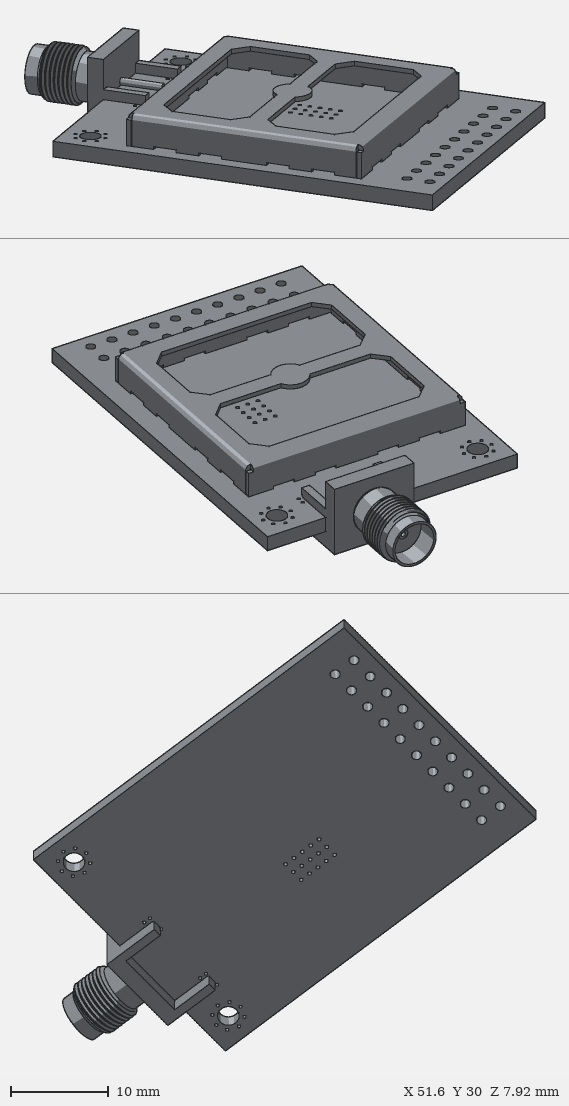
import cadquery as cq
import math

OVERALL_LENGTH = 51.6

BOARD_LENGTH = 42.0
BOARD_WIDTH = 30.0
BOARD_THICKNESS = 1.7
BOARD_LEFT = -BOARD_LENGTH / 2
BOARD_RIGHT = BOARD_LENGTH / 2

MOUNT_HOLE_DIAMETER = 2.2
MOUNT_HOLE_INSET = 2.95
MOUNT_VIA_COUNT = 8
MOUNT_VIA_RADIUS = 1.65
PAD_VIA_DIAMETER = 0.33

HEADER_HOLE_DIAMETER = 1.02
HEADER_PITCH = 2.54
HEADER_COLUMNS = 2
HEADER_ROWS = 10
HEADER_EDGE_INSET = 1.75

THERMAL_VIA_DIAMETER = 0.38
THERMAL_VIA_COLUMNS = 5
THERMAL_VIA_ROWS = 3
THERMAL_VIA_PITCH_X = 1.13
THERMAL_VIA_PITCH_Y = 1.22
THERMAL_VIA_X = BOARD_LEFT + 21.4
THERMAL_VIA_Y = 3.5

SHIELD_SIZE = 26.0
SHIELD_HEIGHT = 3.45
SHIELD_SHEET = 0.5
SHIELD_INNER_BEND = 0.1
SHIELD_OUTER_BEND = SHIELD_SHEET + SHIELD_INNER_BEND
SHIELD_X = BOARD_LEFT + 7.45 + SHIELD_SIZE / 2
SHIELD_Y = -0.33

WINDOW_SPAN = 21.0
WINDOW_CHAMFER = 1.5
BRIDGE_WIDTH = 2.0
PICKUP_DISC_DIAMETER = 4.0

NOTCH_WIDTH = 2.5
NOTCH_HEIGHT = 0.3
NOTCH_CENTRES = (-8.75, -3.75, 3.75, 8.75)

CONNECTOR_LEFT = BOARD_RIGHT - OVERALL_LENGTH
CONNECTOR_Y = 3.27
FLANGE_THICKNESS = 1.75
FLANGE_WIDTH = 9.53
FLANGE_HEIGHT = 7.92
FLANGE_LEFT = BOARD_LEFT - FLANGE_THICKNESS

SIGNAL_PIN_DIAMETER = 0.8
AXIS_Z = SIGNAL_PIN_DIAMETER / 2
FLANGE_BOTTOM = AXIS_Z - FLANGE_HEIGHT / 2

LEG_LENGTH = 4.65
LEG_WIDTH = 0.95
UPPER_LEG_HEIGHT = 1.08
LEG_TIP_CHAMFER = 0.25
LEG_Y_OFFSET = (FLANGE_WIDTH - LEG_WIDTH) / 2

LEG_VIA_Y_OFFSET = 0.86
LEG_VIA_CENTRE_Y_OFFSET = 4.36
LEG_VIA_X = (BOARD_LEFT + 3.7, BOARD_LEFT + 4.48)

BARREL_DIAMETER = 5.2
NECK_DIAMETER = 5.0
NECK_LENGTH = 0.15
BORE_DIAMETER = 4.65
BORE_DEPTH = 2.5
CONTACT_DIAMETER = 1.1
CONTACT_STICKOUT = 0.3
SOCKET_DIAMETER = 0.5
SOCKET_DEPTH = 1.5

THREAD_DIAMETER = 6.2
THREAD_START = 1.4
THREAD_LENGTH = 4.2
THREAD_END_TAPER = (THREAD_DIAMETER - BARREL_DIAMETER) / 2
THREAD_PITCH = 0.49
THREAD_DEPTH = 0.3
THREAD_GROOVE_WIDTH = 0.4
THREAD_CUTTER_OVERHANG = 0.1


def span_box(x_min, x_max, y_min, y_max, z_min, z_max):
    """Box between two opposite corners."""
    return cq.Workplane("XY").box(
        x_max - x_min, y_max - y_min, z_max - z_min, centered=False
    ).translate((x_min, y_min, z_min))


def rod(x_min, x_max, diameter):
    """Cylinder on the connector axis, running along X."""
    return (
        cq.Workplane("YZ", origin=(x_min, CONNECTOR_Y, AXIS_Z))
        .circle(diameter / 2)
        .extrude(x_max - x_min)
    )


def drill(board, points, diameter):
    """Drill through holes at the given X, Y points."""
    drills = (
        cq.Workplane("XY", origin=(0, 0, -BOARD_THICKNESS))
        .pushPoints(points)
        .circle(diameter / 2)
        .extrude(BOARD_THICKNESS)
    )
    return board.cut(drills)


def grid(centre_x, centre_y, columns, rows, pitch_x, pitch_y):
    """Points of a rectangular grid about its centre."""
    return [
        (
            centre_x + (column - (columns - 1) / 2) * pitch_x,
            centre_y + (row - (rows - 1) / 2) * pitch_y,
        )
        for column in range(columns)
        for row in range(rows)
    ]


def make_board():
    board = span_box(
        BOARD_LEFT, BOARD_RIGHT,
        -BOARD_WIDTH / 2, BOARD_WIDTH / 2,
        -BOARD_THICKNESS, 0,
    )

    mount_x = BOARD_LEFT + MOUNT_HOLE_INSET
    mount_y = BOARD_WIDTH / 2 - MOUNT_HOLE_INSET
    mount_points = [(mount_x, -mount_y), (mount_x, mount_y)]
    board = drill(board, mount_points, MOUNT_HOLE_DIAMETER)
    for x, y in mount_points:
        angles = [2 * math.pi * i / MOUNT_VIA_COUNT for i in range(MOUNT_VIA_COUNT)]
        ring = [
            (x + MOUNT_VIA_RADIUS * math.cos(a), y + MOUNT_VIA_RADIUS * math.sin(a))
            for a in angles
        ]
        board = drill(board, ring, PAD_VIA_DIAMETER)

    leg_vias = [
        (x, CONNECTOR_Y + leg_side * LEG_VIA_CENTRE_Y_OFFSET + via_side * LEG_VIA_Y_OFFSET)
        for x in LEG_VIA_X
        for leg_side in (-1, 1)
        for via_side in (-1, 1)
    ]
    board = drill(board, leg_vias, PAD_VIA_DIAMETER)

    thermal_vias = grid(
        THERMAL_VIA_X, THERMAL_VIA_Y,
        THERMAL_VIA_COLUMNS, THERMAL_VIA_ROWS,
        THERMAL_VIA_PITCH_X, THERMAL_VIA_PITCH_Y,
    )
    board = drill(board, thermal_vias, THERMAL_VIA_DIAMETER)

    header_x = BOARD_RIGHT - HEADER_EDGE_INSET - (HEADER_COLUMNS - 1) * HEADER_PITCH / 2
    header_holes = grid(
        header_x, 0, HEADER_COLUMNS, HEADER_ROWS, HEADER_PITCH, HEADER_PITCH
    )
    return drill(board, header_holes, HEADER_HOLE_DIAMETER)


def make_shield_windows():
    """Cutter for the two chamfered windows, split by a bridge with a round pad."""
    windows = (
        cq.Workplane("XY")
        .pushPoints([
            (side * (WINDOW_SPAN + BRIDGE_WIDTH) / 4, 0) for side in (-1, 1)
        ])
        .rect((WINDOW_SPAN - BRIDGE_WIDTH) / 2, WINDOW_SPAN)
        .extrude(SHIELD_HEIGHT)
        .edges("|Z")
        .chamfer(WINDOW_CHAMFER)
    )
    pad = cq.Workplane("XY").circle(PICKUP_DISC_DIAMETER / 2).extrude(SHIELD_HEIGHT)
    return windows.cut(pad)


def make_shield():
    cavity_size = SHIELD_SIZE - 2 * SHIELD_SHEET
    cavity = (
        cq.Workplane("XY")
        .rect(cavity_size, cavity_size)
        .extrude(SHIELD_HEIGHT - SHIELD_SHEET)
        .faces(">Z").edges()
        .fillet(SHIELD_INNER_BEND)
    )
    shield = (
        cq.Workplane("XY")
        .rect(SHIELD_SIZE, SHIELD_SIZE)
        .extrude(SHIELD_HEIGHT)
        .faces(">Z").edges()
        .fillet(SHIELD_OUTER_BEND)
        .cut(cavity)
        .cut(make_shield_windows())
    )

    half = SHIELD_SIZE / 2
    corner_relief = span_box(
        half - SHIELD_OUTER_BEND, half,
        half - SHIELD_OUTER_BEND, half,
        SHIELD_HEIGHT - SHIELD_OUTER_BEND, SHIELD_HEIGHT,
    )
    corner_slit = span_box(
        half - SHIELD_OUTER_BEND, half - SHIELD_SHEET,
        half - SHIELD_OUTER_BEND, half,
        0, SHIELD_HEIGHT,
    )
    corner = corner_relief.union(corner_slit)
    corner_pair = corner.union(corner.mirror("YZ"))
    shield = shield.cut(corner_pair).cut(corner_pair.mirror("XZ"))

    for centre in NOTCH_CENTRES:
        notch = span_box(
            centre - NOTCH_WIDTH / 2, centre + NOTCH_WIDTH / 2,
            -half, half,
            0, NOTCH_HEIGHT,
        )
        shield = shield.cut(notch)
        shield = shield.cut(notch.rotate((0, 0, 0), (0, 0, 1), 90))

    return shield.translate((SHIELD_X, SHIELD_Y, 0))


def make_leg(side, z_min, z_max, board_side_edge):
    """Leg along the board, with its tip chamfered on the edge next to the board."""
    y = CONNECTOR_Y + side * LEG_Y_OFFSET
    leg = span_box(
        BOARD_LEFT, BOARD_LEFT + LEG_LENGTH,
        y - LEG_WIDTH / 2, y + LEG_WIDTH / 2,
        z_min, z_max,
    )
    return leg.faces(">X").edges(board_side_edge).chamfer(LEG_TIP_CHAMFER)


def make_thread_groove():
    """Helical V-shaped cutter about the connector axis."""
    root_radius = THREAD_DIAMETER / 2 - THREAD_DEPTH
    cutter_radius = THREAD_DIAMETER / 2 + THREAD_CUTTER_OVERHANG
    mouth = THREAD_GROOVE_WIDTH * (THREAD_DEPTH + THREAD_CUTTER_OVERHANG) / THREAD_DEPTH
    helix = cq.Wire.makeHelix(THREAD_PITCH, THREAD_LENGTH, root_radius)
    groove = (
        cq.Workplane("XZ")
        .moveTo(root_radius, 0)
        .lineTo(cutter_radius, mouth / 2)
        .lineTo(cutter_radius, -mouth / 2)
        .close()
        .sweep(cq.Workplane(obj=helix), isFrenet=True)
    )
    return (
        groove.rotate((0, 0, 0), (0, 1, 0), 90)
        .translate((CONNECTOR_LEFT + THREAD_START, CONNECTOR_Y, AXIS_Z))
    )


def make_barrel():
    thread_left = CONNECTOR_LEFT + THREAD_START
    thread = (
        rod(thread_left, thread_left + THREAD_LENGTH, THREAD_DIAMETER)
        .edges("%CIRCLE")
        .chamfer(THREAD_END_TAPER)
        .cut(make_thread_groove())
    )
    neck_left = FLANGE_LEFT - NECK_LENGTH
    bore_floor = CONNECTOR_LEFT + BORE_DEPTH
    contact_tip = bore_floor - CONTACT_STICKOUT
    return (
        rod(CONNECTOR_LEFT, neck_left, BARREL_DIAMETER)
        .union(thread)
        .union(rod(neck_left, FLANGE_LEFT, NECK_DIAMETER))
        .cut(rod(CONNECTOR_LEFT, bore_floor, BORE_DIAMETER))
        .union(rod(contact_tip, bore_floor, CONTACT_DIAMETER))
        .cut(rod(contact_tip, contact_tip + SOCKET_DEPTH, SOCKET_DIAMETER))
    )


def make_connector():
    connector = span_box(
        FLANGE_LEFT, BOARD_LEFT,
        CONNECTOR_Y - FLANGE_WIDTH / 2, CONNECTOR_Y + FLANGE_WIDTH / 2,
        FLANGE_BOTTOM, FLANGE_BOTTOM + FLANGE_HEIGHT,
    )
    for side in (-1, 1):
        connector = connector.union(make_leg(side, 0, UPPER_LEG_HEIGHT, "<Z"))
        connector = connector.union(make_leg(side, FLANGE_BOTTOM, -BOARD_THICKNESS, ">Z"))
    connector = connector.union(
        rod(BOARD_LEFT, BOARD_LEFT + LEG_LENGTH, SIGNAL_PIN_DIAMETER)
    )
    return connector.union(make_barrel())


board = make_board()
shield = make_shield()
connector = make_connector()

result = cq.Compound.makeCompound([board.val(), shield.val(), connector.val()])